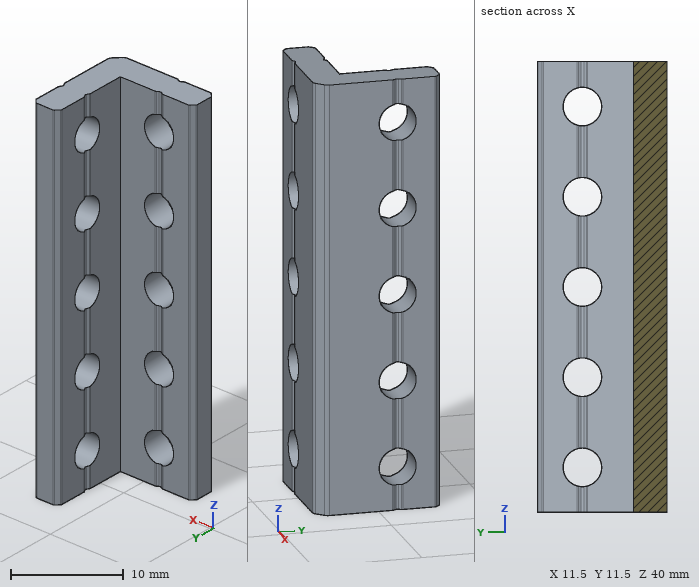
import cadquery as cq

length = 40.0
leg_width = 11.5
leg_thickness = 3.0

tip_chamfer = 0.5
corner_chamfer = 1.0
corner_rounding = 0.6
tip_rounding = 0.2

hole_count = 5
hole_pitch = length / hole_count
hole_diameter = 3.4
hole_inset = 4.0

groove_depth = 0.25
groove_half_width = 0.4
groove_rounding = 0.25
groove_start = hole_inset - groove_half_width
groove_end = hole_inset + groove_half_width

select_margin = 0.05


def sharp_leg():
    """Leg along X before rounding; tip at X = 0, outer face at Y = 0."""
    return (
        cq.Workplane("XY")
        .moveTo(tip_chamfer, 0)
        .lineTo(groove_start, 0)
        .lineTo(hole_inset, groove_depth)
        .lineTo(groove_end, 0)
        .lineTo(leg_width - corner_chamfer, 0)
        .lineTo(leg_width, corner_chamfer)
        .lineTo(leg_width, leg_thickness)
        .lineTo(groove_end, leg_thickness)
        .lineTo(hole_inset, leg_thickness - groove_depth)
        .lineTo(groove_start, leg_thickness)
        .lineTo(tip_chamfer, leg_thickness)
        .lineTo(0, leg_thickness - tip_chamfer)
        .lineTo(0, tip_chamfer)
        .close()
        .extrude(length)
    )


def round_edges(leg, x_range, y_range, radius):
    """Fillet the lengthwise edges whose X and Y lie inside the given ranges."""
    low = (x_range[0] - select_margin, y_range[0] - select_margin, 0)
    high = (x_range[1] + select_margin, y_range[1] + select_margin, length)
    return leg.edges("|Z").edges(cq.selectors.BoxSelector(low, high)).fillet(radius)


def hole_row():
    """Cylinders along Y that pierce the leg along X."""
    centers = [(hole_inset, hole_pitch * (i + 0.5)) for i in range(hole_count)]
    return (
        cq.Workplane("XZ")
        .pushPoints(centers)
        .circle(hole_diameter / 2)
        .extrude(-leg_thickness)
    )


x_leg = round_edges(sharp_leg(), (0, tip_chamfer), (0, leg_thickness), tip_rounding)
x_leg = round_edges(x_leg, (groove_start, groove_end), (0, leg_thickness), groove_rounding)
x_leg = round_edges(x_leg, (leg_width - corner_chamfer, leg_width), (0, corner_chamfer), corner_rounding)
x_leg = x_leg.cut(hole_row())

y_leg = x_leg.mirror((1, 1, 0), (leg_width, 0, 0))

result = x_leg.union(y_leg)